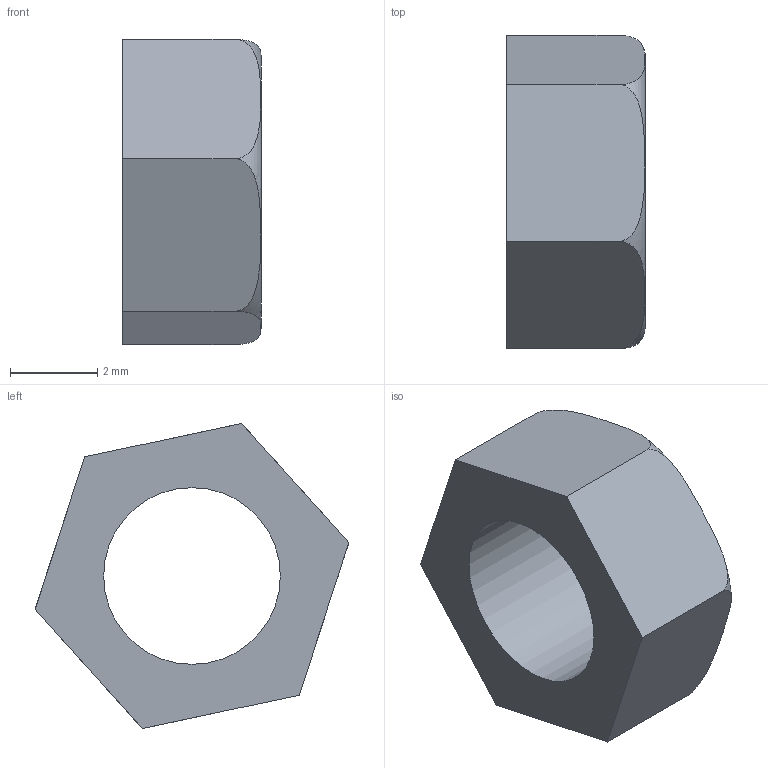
import cadquery as cq
import math

across_flats = 6.35
thickness = 3.17
bore_diameter = 4.04
hex_turn = 12.0
crown_radius = 0.6

corner_radius = across_flats / 2 / math.cos(math.radians(30))


def hex_prism():
    """Hexagonal body, turned about X."""
    prism = cq.Workplane("YZ").polygon(6, 2 * corner_radius).extrude(thickness)
    return prism.rotate((0, 0, 0), (1, 0, 0), -hex_turn)


def crown_envelope():
    """Cylinder through the hexagon corners with its far edge rounded."""
    blank = cq.Workplane("YZ").circle(corner_radius).extrude(thickness)
    return blank.faces(">X").edges().fillet(crown_radius)


def bore():
    """Plain round hole through the full thickness."""
    return cq.Workplane("YZ").circle(bore_diameter / 2).extrude(thickness)


result = hex_prism().intersect(crown_envelope()).cut(bore())